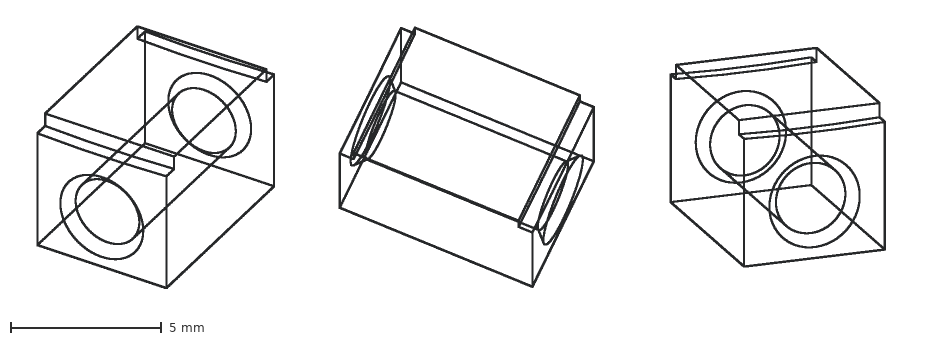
import cadquery as cq

width = 4.98
length = 7.0
height = 4.98

step_length = 0.505
step_edge_depth = 0.5
step_middle_depth = 0.55

bore_diameter = 2.46
countersink_diameter = 3.2
bore_height = 1.99
countersink_depth = (countersink_diameter - bore_diameter) / 2


def end_step(y_end):
    """Cutter for an end step whose +Y face lies at y_end."""
    return (
        cq.Workplane("XZ", origin=(0, y_end, 0))
        .moveTo(-width / 2, height)
        .lineTo(-width / 2, height - step_edge_depth)
        .threePointArc((0, height - step_middle_depth), (width / 2, height - step_edge_depth))
        .lineTo(width / 2, height)
        .close()
        .extrude(step_length)
    )


def countersunk_bore():
    """Cutter for the bore, revolved about its axis along Y."""
    bore_radius = bore_diameter / 2
    mouth_radius = countersink_diameter / 2
    half_length = length / 2
    return (
        cq.Workplane("XY", origin=(0, 0, bore_height))
        .moveTo(0, -half_length)
        .lineTo(mouth_radius, -half_length)
        .lineTo(bore_radius, -half_length + countersink_depth)
        .lineTo(bore_radius, half_length - countersink_depth)
        .lineTo(mouth_radius, half_length)
        .lineTo(0, half_length)
        .close()
        .revolve(360, (0, 0, 0), (0, 1, 0))
    )


result = cq.Workplane("XY").box(width, length, height, centered=(True, True, False))
for y_end in (-length / 2 + step_length, length / 2):
    result = result.cut(end_step(y_end))
result = result.cut(countersunk_bore())